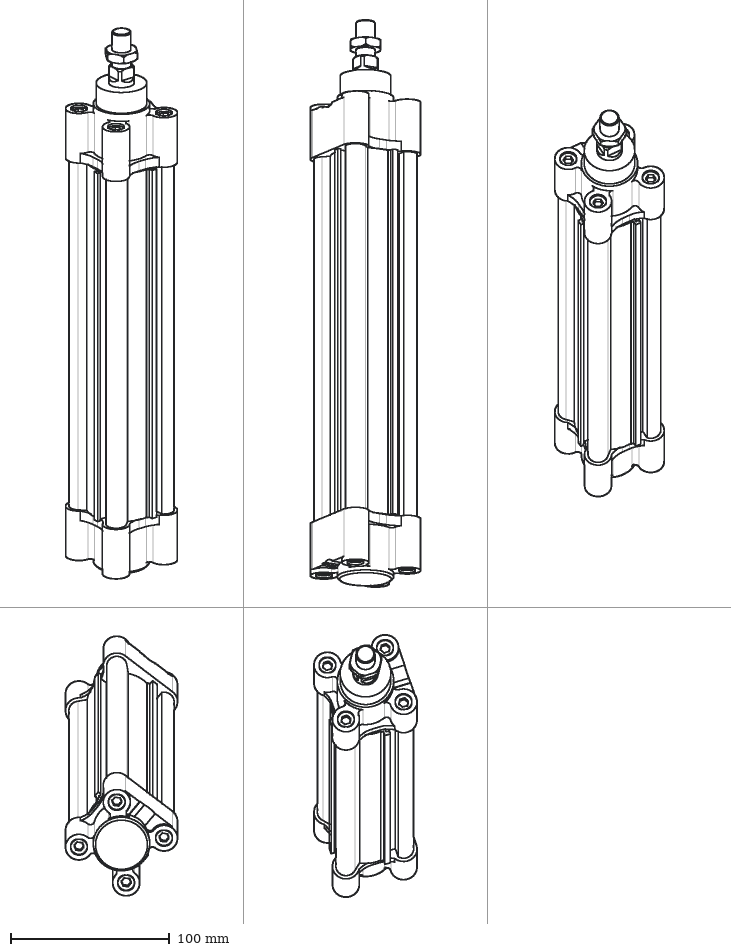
import cadquery as cq
import math

total_height = 363.0
cover_length = 33.8
rear_cover_z = 4.0
front_cover_top = 309.0
front_cover_z = front_cover_top - cover_length
rear_cover_top = rear_cover_z + cover_length

cover_half_width = 27.5
corner_spacing = 38.0
corner_offset = corner_spacing / 2
corner_radius = cover_half_width - corner_offset
barrel_radius = 17.8
barrel_blend_radius = 2.5
flange_thickness = 6.5
flange_flat_distance = 21.0
flange_flat_half_width = 2.5
flange_arc_radius = 18.0
flange_arc_reach = 11.0

port_block_drop = 3.0
port_trough_radius = 7.3
port_trough_half_width = 5.0
port_ledge_edge = 7.3
port_ledge_depth = 1.0

screw_recess_diameter = 10.5
screw_recess_depth = 1.5
hex_socket_width = 5.5
hex_socket_depth = 3.0

barrel_top = 313.5
front_collar_diameter = 32.0
front_collar_top = 327.8
rear_barrel_chamfer = 1.5

tube_radius = 22.0
tube_half_width = 25.5
tube_corner_radius = tube_half_width - corner_offset
tube_groove_x = 10.0
shoulder_x = 3.0
shoulder_distance = 22.5
hook_x = 4.7
hook_wall = 1.5
hook_length = 3.5
hook_lip = 2.0
slot_end_x = 14.0
slot_floor_distance = 17.5

rod_diameter = 16.0
thread_diameter = 12.0
thread_chamfer = 0.7
thread_bottom = 339.8
shoulder_chamfer = 1.0
flats_bottom = 332.5
flats_width = 12.7
flats_runout = (rod_diameter - flats_width) / 2

nut_width = 19.0
nut_bottom = 345.0
nut_height = 5.8
nut_chamfer = 1.0

corner_points = [(sx * corner_offset, sy * corner_offset) for sx in (-1, 1) for sy in (-1, 1)]
further_quarter_turns = [90, 180, 270]


def disc(radius, z, height):
    """Cylinder on the Z axis standing on height z."""
    return cq.Workplane("XY").workplane(offset=z).circle(radius).extrude(height)


def corner_columns(radius, z, height):
    """Four round columns around the tie screws."""
    return cq.Workplane("XY").workplane(offset=z).pushPoints(corner_points).circle(radius).extrude(height)


def across_corners(width):
    """Distance between opposite corners of a hexagon of the given width across flats."""
    return width / math.cos(math.pi / 6)


def hexagon(width, z, height):
    """Hexagonal prism with flats facing +X and -X."""
    prism = cq.Workplane("XY").workplane(offset=z).polygon(6, across_corners(width)).extrude(height)
    return prism.rotate((0, 0, 0), (0, 0, 1), 90)


def quarter_pattern(shape):
    """Union of four copies of a shape turned about the Z axis."""
    whole = shape
    for angle in further_quarter_turns:
        whole = whole.union(shape.rotate((0, 0, 0), (0, 0, 1), angle))
    return whole


def barrel_web(z, height):
    """Web between the barrel and one corner column, with a concave arc on each side."""
    to_corner = math.hypot(corner_offset, corner_offset)
    to_barrel = barrel_radius + barrel_blend_radius
    to_column = corner_radius + barrel_blend_radius
    along = (to_barrel**2 - to_column**2 + to_corner**2) / (2 * to_corner)
    across = math.sqrt(to_barrel**2 - along**2)
    barrel_share = barrel_radius / to_barrel
    column_share = corner_radius / to_column
    start = (along * barrel_share, across * barrel_share)
    end = (to_corner + (along - to_corner) * column_share, across * column_share)
    middle_angle = (math.atan2(start[1] - across, start[0] - along)
                    + math.atan2(end[1] - across, end[0] - along)) / 2
    middle = (along + barrel_blend_radius * math.cos(middle_angle),
              across + barrel_blend_radius * math.sin(middle_angle))
    web = (
        cq.Workplane("XY").workplane(offset=z)
        .moveTo(*start)
        .threePointArc(middle, end)
        .lineTo(end[0], -end[1])
        .threePointArc((middle[0], -middle[1]), (start[0], -start[1]))
        .close()
        .extrude(height)
    )
    return web.rotate((0, 0, 0), (0, 0, 1), 45)


def flange_side(z):
    """-Y quarter of the flange: a flat edge with concave arcs that run into the corner columns."""
    edge_y = -flange_flat_distance
    end_x = flange_flat_half_width + flange_arc_reach
    end_angle = math.asin(flange_arc_reach / flange_arc_radius)
    end_y = edge_y - flange_arc_radius * (1 - math.cos(end_angle))
    middle_x = flange_flat_half_width + flange_arc_radius * math.sin(end_angle / 2)
    middle_y = edge_y - flange_arc_radius * (1 - math.cos(end_angle / 2))
    return (
        cq.Workplane("XY").workplane(offset=z)
        .moveTo(0, 0)
        .lineTo(-corner_offset, -corner_offset)
        .lineTo(-end_x, end_y)
        .threePointArc((-middle_x, middle_y), (-flange_flat_half_width, edge_y))
        .lineTo(flange_flat_half_width, edge_y)
        .threePointArc((middle_x, middle_y), (end_x, end_y))
        .lineTo(corner_offset, -corner_offset)
        .close()
        .extrude(flange_thickness)
    )


def port_block(z):
    """Flat-backed block between the +Y columns, with a round trough and a ledge in its top."""
    height = cover_length - port_block_drop
    top = z + height
    block = (
        cq.Workplane("XY").workplane(offset=z)
        .moveTo(0, 0)
        .lineTo(-corner_offset, corner_offset)
        .lineTo(-corner_offset, cover_half_width)
        .lineTo(corner_offset, cover_half_width)
        .lineTo(corner_offset, corner_offset)
        .close()
        .extrude(height)
    )
    trough_axis_z = top + math.sqrt(port_trough_radius**2 - port_trough_half_width**2)
    trough = cq.Workplane("XZ").center(0, trough_axis_z).circle(port_trough_radius).extrude(-cover_half_width)
    ledge = cq.Workplane("XY").box(port_ledge_edge, cover_half_width, port_ledge_depth, centered=False)
    return block.cut(trough).cut(ledge.translate((0, 0, top - port_ledge_depth)))


def screw_recesses():
    """Round recess and hexagon socket at the outer end of each corner column."""
    recess_floor = cover_length - screw_recess_depth
    recesses = corner_columns(screw_recess_diameter / 2, recess_floor, screw_recess_depth)
    socket = hexagon(hex_socket_width, recess_floor - hex_socket_depth, hex_socket_depth)
    for x, y in corner_points:
        recesses = recesses.union(socket.translate((x, y, 0)))
    return recesses


def make_cover():
    """End cover standing on Z = 0, with its flange down and its screw heads up."""
    cover = corner_columns(corner_radius, 0, cover_length)
    cover = cover.union(quarter_pattern(barrel_web(0, cover_length)))
    cover = cover.union(quarter_pattern(flange_side(0)))
    cover = cover.union(port_block(0))
    return cover.cut(screw_recesses())


def tube_side(z, height):
    """-Y side rails of the tube: a sloping fill beside one corner and a hooked sensor rail."""
    diagonal = tube_corner_radius * math.sqrt(0.5)
    groove_y = -math.sqrt(tube_radius**2 - tube_groove_x**2)
    fill = (
        cq.Workplane("XY").workplane(offset=z)
        .moveTo(-corner_offset, -corner_offset)
        .lineTo(-corner_offset + diagonal, -corner_offset - diagonal)
        .lineTo(-tube_groove_x, groove_y)
        .lineTo(0, 0)
        .close()
        .extrude(height)
    )
    hook = (
        cq.Workplane("XY").workplane(offset=z)
        .moveTo(shoulder_x, -slot_floor_distance)
        .lineTo(shoulder_x, -shoulder_distance)
        .lineTo(hook_x, -shoulder_distance)
        .lineTo(hook_x, -tube_half_width)
        .lineTo(hook_x + hook_length, -tube_half_width)
        .lineTo(hook_x + hook_length, -tube_half_width + hook_lip)
        .lineTo(hook_x + hook_wall, -tube_half_width + hook_lip)
        .lineTo(hook_x + hook_wall, -slot_floor_distance)
        .close()
        .extrude(height)
    )
    return fill.union(hook)


def sensor_slot(z, height):
    """Slot in the -Y side of the tube, between the hooked rail and the next corner."""
    start_x = hook_x + hook_wall
    return (
        cq.Workplane("XY").workplane(offset=z)
        .moveTo(start_x, -slot_floor_distance)
        .lineTo(slot_end_x, -slot_floor_distance)
        .lineTo(slot_end_x, -tube_half_width)
        .lineTo(start_x, -tube_half_width)
        .close()
        .extrude(height)
    )


def make_tube():
    """Profiled tube between the two covers."""
    height = front_cover_z - rear_cover_top
    tube = disc(tube_radius, rear_cover_top, height)
    tube = tube.union(corner_columns(tube_corner_radius, rear_cover_top, height))
    tube = tube.cut(quarter_pattern(sensor_slot(rear_cover_top, height)))
    return tube.union(quarter_pattern(tube_side(rear_cover_top, height)))


def make_housing():
    """Tube, covers, barrels and front collar, bored for the piston rod."""
    cover = make_cover()
    front_cover = cover.translate((0, 0, front_cover_z))
    rear_cover = cover.mirror("XY").translate((0, 0, rear_cover_top))
    front_barrel = disc(barrel_radius, front_cover_z, barrel_top - front_cover_z)
    front_collar = disc(front_collar_diameter / 2, barrel_top, front_collar_top - barrel_top)
    rear_barrel = disc(barrel_radius, 0, rear_cover_top).faces("<Z").chamfer(rear_barrel_chamfer)
    housing = make_tube().union(front_cover).union(rear_cover)
    housing = housing.union(front_barrel).union(front_collar).union(rear_barrel)
    return housing.cut(disc(rod_diameter / 2, front_cover_z, front_collar_top - front_cover_z))


def make_rod():
    """Piston rod with four wrench flats that run out at a slope, and a threaded end."""
    rod = disc(rod_diameter / 2, front_cover_z, thread_bottom - front_cover_z)
    rod = rod.faces(">Z").chamfer(shoulder_chamfer)
    shank_top = flats_bottom - flats_runout
    shank = disc(rod_diameter / 2, front_cover_z, shank_top - front_cover_z)
    square = cq.Workplane("XY").workplane(offset=flats_bottom).rect(flats_width, flats_width)
    flats = square.extrude(thread_bottom - flats_bottom)
    runout = cq.Workplane("XY").workplane(offset=shank_top).rect(rod_diameter, rod_diameter)
    runout = runout.extrude(flats_runout, taper=45)
    thread = disc(thread_diameter / 2, thread_bottom, total_height - thread_bottom)
    thread = thread.faces(">Z").chamfer(thread_chamfer)
    return rod.intersect(shank.union(runout).union(flats)).union(thread)


def make_nut():
    """Hexagonal lock nut with chamfered corners on the threaded end of the rod."""
    bore = disc(thread_diameter / 2, nut_bottom, nut_height)
    corner_trim = disc(across_corners(nut_width) / 2, nut_bottom, nut_height)
    corner_trim = corner_trim.faces("<Z or >Z").chamfer(nut_chamfer)
    return hexagon(nut_width, nut_bottom, nut_height).intersect(corner_trim).cut(bore)


housing = make_housing()
rod = make_rod()
nut = make_nut()

result = cq.Compound.makeCompound([body.solids().val() for body in (housing, rod, nut)])